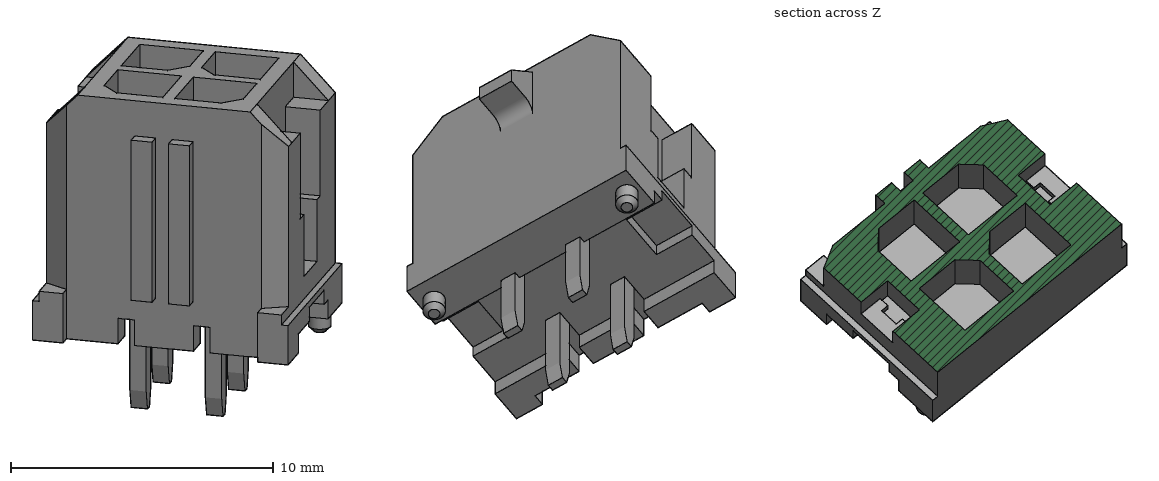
import cadquery as cq


TOTAL_HEIGHT = 13.09

HOUSING_WIDTH = 9.62
HOUSING_DEPTH = 6.86
HOUSING_HEIGHT = 9.91
CORE_WIDTH = 6.85
SHOULDER_Z = 8.48
BEVEL_WIDTH = 0.94
RIB_DEPTH = 0.5
CHEEK_THICKNESS = 0.94

FLANGE_WIDTH = 10.15
FLANGE_HEIGHT = 1.6
FRONT_BLOCK_HEIGHT = 2.0
STANDOFF_HEIGHT = 0.77
FOOT_GAP_LENGTH = 4.02
FLANGE_NOTCH_LENGTH = 2.02
FLANGE_NOTCH_HEIGHT = 0.58

WIDE_SLOT_LENGTH = 2.72
WIDE_SLOT_FLOOR_Z = 5.01
NARROW_SLOT_LENGTH = 1.75
NARROW_SLOT_FLOOR_Z = 2.51
NARROW_SLOT_Y = 0.04
FLOOR_RECESS_DEPTH = 0.25
FLOOR_RECESS_WIDTH = 0.39
FLOOR_NOTCH_WIDTH = 0.33
FLOOR_NOTCH_LENGTH = 0.81

PITCH = 3.0
CAVITY_SIZE = 2.53
CAVITY_CHAMFER = 0.68
CAVITY_FLOOR_Z = FLANGE_HEIGHT
PIN_WIDTH = 0.65
PIN_THICKNESS = 0.64
PIN_TOP_Z = 1.03
PIN_TIP_Z = HOUSING_HEIGHT - TOTAL_HEIGHT
PIN_TIP_HEIGHT = 0.76
PIN_TIP_THICKNESS = 0.29

RIB_WIDTH = 0.82
RIB_SPACING = 1.48

LATCH_WIDTH = 1.49
LATCH_REACH = 1.41
LATCH_TIP_TOP_Z = 8.14
LATCH_UNDERSIDE_Z = 7.42
LATCH_FILLET = 0.5

PEG_X = 4.46
PEG_INSET = 0.94
PEG_DIAMETER = 0.86
PEG_LENGTH = 0.86
PEG_CHAMFER = 0.21

SIDES = (-1, 1)
FRONT_Y = -HOUSING_DEPTH / 2
BACK_Y = HOUSING_DEPTH / 2
FLANGE_FRONT_Y = FRONT_Y - RIB_DEPTH
FOOT_GAP_FRONT_Y = FRONT_Y + CHEEK_THICKNESS


def block(x_range, y_range, z_range):
    """Box between pairs of limits, given in either order."""
    size = [abs(end - start) for start, end in (x_range, y_range, z_range)]
    corner = [min(limits) for limits in (x_range, y_range, z_range)]
    return cq.Workplane("XY").box(*size, centered=False).translate(tuple(corner))


def span(centre, length):
    return (centre - length / 2, centre + length / 2)


def make_housing():
    """Shell with sloped shoulders, bevelled front corners and the flange."""
    half_width = HOUSING_WIDTH / 2
    half_core = CORE_WIDTH / 2
    shoulders = (
        cq.Workplane("XZ", origin=(0, BACK_Y, 0))
        .moveTo(-half_width, 0)
        .lineTo(half_width, 0)
        .lineTo(half_width, SHOULDER_Z)
        .lineTo(half_core, HOUSING_HEIGHT)
        .lineTo(-half_core, HOUSING_HEIGHT)
        .lineTo(-half_width, SHOULDER_Z)
        .close()
        .extrude(HOUSING_DEPTH)
    )
    plan = (
        cq.Workplane("XY")
        .moveTo(-half_width, BACK_Y)
        .lineTo(half_width, BACK_Y)
        .lineTo(half_width, FRONT_Y + RIB_DEPTH)
        .lineTo(half_width - BEVEL_WIDTH, FRONT_Y)
        .lineTo(-half_width + BEVEL_WIDTH, FRONT_Y)
        .lineTo(-half_width, FRONT_Y + RIB_DEPTH)
        .close()
        .extrude(HOUSING_HEIGHT)
    )
    housing = shoulders.intersect(plan)
    for side in SIDES:
        inner_x = side * (half_width - BEVEL_WIDTH)
        y_range = (FLANGE_FRONT_Y, BACK_Y)
        housing = housing.union(
            block((inner_x, side * FLANGE_WIDTH / 2), y_range, (0, FLANGE_HEIGHT))
        )
        housing = housing.union(
            block((inner_x, side * half_width), y_range, (0, FRONT_BLOCK_HEIGHT))
        )
    return housing


def cut_side_slots(housing):
    """Open the space above each shoulder, the stepped slot and the recess in its floor."""
    half_core = CORE_WIDTH / 2
    top = HOUSING_HEIGHT
    recess_z = (NARROW_SLOT_FLOOR_Z - FLOOR_RECESS_DEPTH, top)
    recess_end = half_core + FLOOR_RECESS_WIDTH
    notch_end = recess_end + FLOOR_NOTCH_WIDTH
    narrow_y = span(NARROW_SLOT_Y, NARROW_SLOT_LENGTH)
    cheek_y = span(0, HOUSING_DEPTH - 2 * CHEEK_THICKNESS)
    for side in SIDES:
        core_x = side * half_core
        slot_x = (core_x, side * FLANGE_WIDTH / 2)
        cuts = (
            block(slot_x, cheek_y, (SHOULDER_Z, top)),
            block(slot_x, span(0, WIDE_SLOT_LENGTH), (WIDE_SLOT_FLOOR_Z, top)),
            block(slot_x, narrow_y, (NARROW_SLOT_FLOOR_Z, top)),
            block((core_x, side * recess_end), narrow_y, recess_z),
            block((core_x, side * notch_end), span(0, FLOOR_NOTCH_LENGTH), recess_z),
        )
        for cut in cuts:
            housing = housing.cut(cut)
    return housing


def cut_underside(housing):
    """Raise the underside between the feet, notch the flange and clear the front pins."""
    gap_y = (FOOT_GAP_FRONT_Y, FOOT_GAP_FRONT_Y + FOOT_GAP_LENGTH)
    housing = housing.cut(block(span(0, FLANGE_WIDTH), gap_y, (0, STANDOFF_HEIGHT)))
    for side in SIDES:
        notch_x = (side * CORE_WIDTH / 2, side * FLANGE_WIDTH / 2)
        notch_z = (STANDOFF_HEIGHT, STANDOFF_HEIGHT + FLANGE_NOTCH_HEIGHT)
        housing = housing.cut(block(notch_x, span(0, FLANGE_NOTCH_LENGTH), notch_z))
        pin_slot_x = span(side * PITCH / 2, PIN_WIDTH)
        housing = housing.cut(block(pin_slot_x, (FRONT_Y, -PITCH / 2), (0, PIN_TOP_Z)))
    return housing


def make_cavity(column, row):
    """Contact cavity with chamfered front corners: inner in the back row, outer in the front."""
    cavity = block(
        span(column * PITCH / 2, CAVITY_SIZE),
        span(row * PITCH / 2, CAVITY_SIZE),
        (CAVITY_FLOOR_Z, HOUSING_HEIGHT),
    )
    chamfer_side = -column * row
    corner = "|Z and <Y and >X" if chamfer_side > 0 else "|Z and <Y and <X"
    return cavity.edges(corner).chamfer(CAVITY_CHAMFER)


def make_pin(column, row):
    """Flat solder tail, tapered front and back at its tip."""
    half = PIN_THICKNESS / 2
    half_tip = PIN_TIP_THICKNESS / 2
    taper_z = PIN_TIP_Z + PIN_TIP_HEIGHT
    outline = [
        (-half, PIN_TOP_Z),
        (-half, taper_z),
        (-half_tip, PIN_TIP_Z),
        (half_tip, PIN_TIP_Z),
        (half, taper_z),
        (half, PIN_TOP_Z),
    ]
    pin = cq.Workplane("YZ").polyline(outline).close().extrude(PIN_WIDTH / 2, both=True)
    return pin.translate((column * PITCH / 2, row * PITCH / 2, 0))


def make_rib(side):
    return block(
        span(side * RIB_SPACING / 2, RIB_WIDTH),
        (FLANGE_FRONT_Y, FRONT_Y),
        (FRONT_BLOCK_HEIGHT, SHOULDER_Z),
    )


def make_latch():
    """Ramp on the rear wall with a 45 degree top and a filleted underside."""
    tip_y = BACK_Y + LATCH_REACH
    return (
        cq.Workplane("YZ")
        .moveTo(BACK_Y, LATCH_TIP_TOP_Z + LATCH_REACH)
        .lineTo(tip_y, LATCH_TIP_TOP_Z)
        .lineTo(tip_y, LATCH_UNDERSIDE_Z)
        .lineTo(BACK_Y + LATCH_FILLET, LATCH_UNDERSIDE_Z)
        .radiusArc((BACK_Y, LATCH_UNDERSIDE_Z - LATCH_FILLET), -LATCH_FILLET)
        .close()
        .extrude(LATCH_WIDTH / 2, both=True)
    )


def make_peg(side):
    peg = cq.Workplane("XY").circle(PEG_DIAMETER / 2).extrude(-PEG_LENGTH)
    peg = peg.faces("<Z").chamfer(PEG_CHAMFER)
    return peg.translate((side * PEG_X, BACK_Y - PEG_INSET, 0))


result = cut_underside(cut_side_slots(make_housing())).union(make_latch())
for side in SIDES:
    result = result.union(make_rib(side)).union(make_peg(side))
    for row in SIDES:
        result = result.cut(make_cavity(side, row)).union(make_pin(side, row))